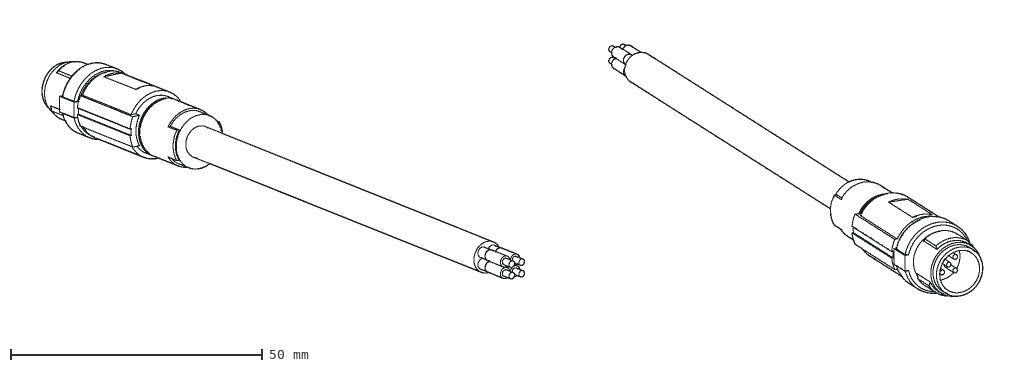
import cadquery as cq
import math


tip_radius = 5.12
tip_end = 1.6
sleeve_radius = 5.6
sleeve_end = 9.55
cavity_radius = 4.4
cavity_depth = 9.0
pad_radius = 6.06
upper_pad_half_width = 3.6
lower_pad_half_width = 5.1
pad_start = 2.95
pad_end = 9.0
pad_chamfer = 0.45

pin_radius = 0.5
pin_offset = 1.42
pin_length = 4.0

nut_radius = 7.395
nut_end = 14.6
nut_chamfer = 0.5
key_reach = 7.5
key_half_width = 1.65

neck_radius = 6.5
body_start = 15.65
body_radius = 7.0
body_end = 32.55
rib_radius = 7.5
rib_end = 33.9
rib_half_span = 3.15
rib_gap = 1.35
rib_floor_radius = 7.2
label_start = 17.2
label_end = 28.2
label_half_width = 2.15

clamp_radius = 6.05
groove_start = 34.8
groove_end = 35.1
groove_radius = 5.85
clamp_end = 43.8
tail_radius = 5.6
tail_end = 47.25
wing_half_width = 3.15
wing_chamfer_length = 1.4

cable_radius = 3.27
cable_end = 147.1
core_offset = 1.2
core_radius = 1.1
core_end = 149.6
ferrule_radius = 1.15
ferrule_end = 155.0
strand_radius = 0.68
total_length = 157.3


def rod(radius, start, end, y=0.0, z=0.0):
    """Cylinder along X between two stations."""
    return cq.Workplane("YZ", origin=(start, y, z)).circle(radius).extrude(end - start)


def block(x_range, y_range, z_range):
    """Axis-aligned box given by its limits."""
    low, high = zip(x_range, y_range, z_range)
    sizes = [b - a for a, b in zip(low, high)]
    return cq.Workplane("XY").box(*sizes, centered=False).translate(low)


def square_places(offset):
    """The four (y, z) corners of a square centred on the axis."""
    return [(y, z) for y in (-offset, offset) for z in (-offset, offset)]


def make_sleeve():
    """Stepped sleeve with a narrow raised pad on top and a wider one underneath."""
    sleeve = rod(tip_radius, 0, tip_end).union(rod(sleeve_radius, tip_end, sleeve_end))
    ring = rod(pad_radius, pad_start, pad_end).faces("<X or >X").chamfer(pad_chamfer)
    length = (pad_start, pad_end)
    upper_width = (-upper_pad_half_width, upper_pad_half_width)
    lower_width = (-lower_pad_half_width, lower_pad_half_width)
    upper_pad = ring.intersect(block(length, upper_width, (0, pad_radius)))
    lower_pad = ring.intersect(block(length, lower_width, (-pad_radius, 0)))
    return sleeve.union(upper_pad).union(lower_pad)


def make_pins():
    """Four pins in a square and one on the axis, standing on the cavity floor."""
    tip = cavity_depth - pin_length
    pins = rod(pin_radius, tip, cavity_depth)
    for y, z in square_places(pin_offset):
        pins = pins.union(rod(pin_radius, tip, cavity_depth, y, z))
    return pins


def make_nut():
    """Chamfered coupling nut with a flat key on each side."""
    nut = rod(nut_radius, sleeve_end, nut_end).faces("<X or >X").chamfer(nut_chamfer)
    keys = block(
        (sleeve_end, nut_end), (-key_reach, key_reach), (-key_half_width, key_half_width)
    )
    return nut.union(keys)


def make_grip():
    """Grip with two ribs on each side and a flat label field on top and underneath."""
    body = rod(neck_radius, nut_end, body_start).union(rod(body_radius, body_start, body_end))
    length = (body_start, rib_end)
    reach = (-rib_radius, rib_radius)
    rib_band = block(length, reach, (-rib_half_span, rib_half_span))
    gap_band = block(length, reach, (-rib_gap / 2, rib_gap / 2))
    gap = gap_band.cut(rod(rib_floor_radius, body_start, rib_end))
    body = body.union(rod(rib_radius, body_start, rib_end).intersect(rib_band).cut(gap))

    label_height = math.sqrt(body_radius**2 - label_half_width**2)
    label_width = (-label_half_width, label_half_width)
    for side in (-1, 1):
        depth = sorted((side * label_height, side * rib_radius))
        body = body.cut(block((label_start, label_end), label_width, depth))
    return body


def make_clamp():
    """Clamping end whose reduced tail keeps its full radius in a wing on each side."""
    clamp = rod(clamp_radius, body_end, groove_start)
    clamp = clamp.union(rod(groove_radius, groove_start, groove_end))
    clamp = clamp.union(rod(clamp_radius, groove_end, clamp_end))
    clamp = clamp.union(rod(tail_radius, clamp_end, tail_end))
    wings = rod(clamp_radius, clamp_end, tail_end).faces(">X").chamfer(
        clamp_radius - tail_radius, wing_chamfer_length
    )
    band = block(
        (clamp_end, tail_end), (-clamp_radius, clamp_radius), (-wing_half_width, wing_half_width)
    )
    return clamp.union(wings.intersect(band))


def make_cable():
    """Sheathed cable ending in four cores, each with a ferrule and a bare strand."""
    cable = rod(cable_radius, tail_end, cable_end)
    for y, z in square_places(core_offset):
        cable = cable.union(rod(core_radius, cable_end, core_end, y, z))
        cable = cable.union(rod(ferrule_radius, core_end, ferrule_end, y, z))
        cable = cable.union(rod(strand_radius, ferrule_end, total_length, y, z))
    return cable


result = make_sleeve().union(make_nut()).union(make_grip()).union(make_clamp()).union(make_cable())
result = result.cut(rod(cavity_radius, 0, cavity_depth)).union(make_pins())